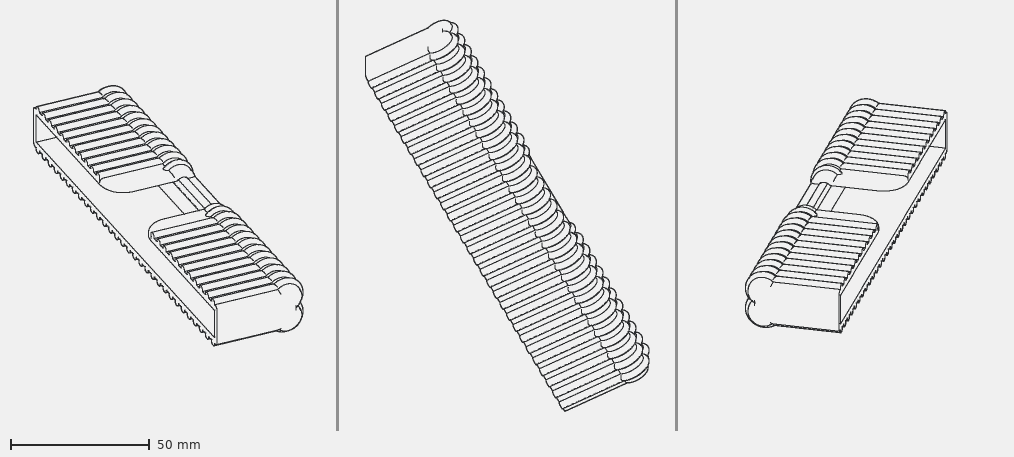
import cadquery as cq
import math

length = 156.0
depth = 35.7
height = 22.0

rib_count = 30
rib_end_distance = 3.6
rib_width = 2.8
rib_height = 1.5
plate_rib_rounding = 1.1
rib_pitch = (length - 2 * rib_end_distance) / (rib_count - 1)
rib_positions = [-length / 2 + rib_end_distance + i * rib_pitch for i in range(rib_count)]

rib_roll_radius = 7.0
roll_radius = rib_roll_radius - rib_height
roll_y = depth - rib_roll_radius
roll_z = height / 2 - rib_roll_radius
web_y = roll_y + 2.7
plate_z = 8.1
edge_rounding = 1.5

cavity_z = 5.5
cavity_roll_radius = 2.5
cavity_web_y = roll_y + 1.17
end_wall = 2.8
mouth_flare_x = 0.39
mouth_flare_z = 0.23
mouth_depth = 2.5

window_half = 12.5
bare_roll_pairs = 3
bare_plate_pairs = 4
back_edge_rounding = 1.0
low_rib_roll_radius = 6.5
panel_rib_x = rib_positions[rib_count // 2 + bare_plate_pairs]
panel_corner_radius = panel_rib_x - rib_width / 2 - window_half


def box(x0, x1, y0, y1, z0, z1):
    return cq.Workplane("XY").box(x1 - x0, y1 - y0, z1 - z0, centered=False).translate((x0, y0, z0))


def cylinder(x0, x1, radius, z):
    return cq.Workplane("YZ", origin=(x0, 0, 0)).center(roll_y, z).circle(radius).extrude(x1 - x0)


def rounded_plate(x0, x1, side, plate_top, rounding):
    """Slab on one side of the middle plane (+1 upper, -1 lower), its two outer edges along Y rounded."""
    outer_face = ">Z" if side > 0 else "<Z"
    z0, z1 = sorted((0, side * plate_top))
    return box(x0, x1, 0, roll_y, z0, z1).faces(outer_face).edges("|Y").fillet(rounding)


def half_sleeve(side):
    """Roll and plate on one side of the middle plane, with rounded ends."""
    x0, x1 = -length / 2, length / 2
    roll = cylinder(x0, x1, roll_radius, side * roll_z).edges("%CIRCLE").fillet(edge_rounding)
    return roll.union(rounded_plate(x0, x1, side, plate_z, edge_rounding))


def sleeve():
    """Outer body with the window cut down to the cavity height."""
    body = half_sleeve(-1).union(half_sleeve(1))
    body = body.union(box(-length / 2, length / 2, 0, web_y, -roll_z, roll_z))
    half = window_half + panel_corner_radius
    body = body.cut(box(-half, half, 0, depth, cavity_z, height))
    back_edge_y = roll_y + math.sqrt(roll_radius**2 - (cavity_z - roll_z) ** 2)
    back_edge = cq.selectors.NearestToPointSelector((0, back_edge_y, cavity_z))
    return body.edges(back_edge).fillet(back_edge_rounding)


def window_panel():
    """Rounded-corner piece of the upper plate and roll beside the window, on the +X side."""
    corner = panel_corner_radius
    outer_x = window_half + corner
    slant = corner * (1 - math.sqrt(0.5))
    plate = (
        cq.Workplane("XY", origin=(0, 0, cavity_z))
        .moveTo(outer_x, 0)
        .threePointArc((window_half + slant, slant), (window_half, corner))
        .lineTo(window_half, roll_y)
        .lineTo(outer_x, roll_y)
        .close()
        .extrude(plate_z - cavity_z)
    )
    plate = plate.faces(">Z").edges("<X or %CIRCLE").fillet(edge_rounding)
    roll = cylinder(window_half, outer_x, roll_radius, roll_z).faces("<X").edges().fillet(edge_rounding)
    return plate.union(roll.intersect(box(0, length, 0, depth, 0, height)))


def roll_rib(x, side, radius):
    """Disc around a roll with a fully rounded rim."""
    half = rib_width / 2
    rim_start = radius - half
    return (
        cq.Workplane("XY", origin=(x, roll_y, side * roll_z))
        .moveTo(-half, 0)
        .lineTo(-half, rim_start)
        .threePointArc((0, radius), (half, rim_start))
        .lineTo(half, 0)
        .close()
        .revolve(360, (0, 0, 0), (1, 0, 0))
    )


def plate_rib(x, side):
    half = rib_width / 2
    return rounded_plate(x - half, x + half, side, plate_z + rib_height, plate_rib_rounding)


def ribs():
    """All ribs as a list; those that would cross the window are left out."""
    parts = []
    for index, x in enumerate(rib_positions):
        parts += [roll_rib(x, -1, rib_roll_radius), plate_rib(x, -1)]
        pairs_from_middle = max(index - rib_count // 2, rib_count // 2 - 1 - index)
        if pairs_from_middle >= bare_plate_pairs:
            parts += [roll_rib(x, 1, rib_roll_radius), plate_rib(x, 1)]
        elif pairs_from_middle >= bare_roll_pairs:
            parts.append(roll_rib(x, 1, low_rib_roll_radius))
    return parts


def cavity():
    half = length / 2 - end_wall
    hollow = box(-half, half, 0, roll_y, -cavity_z, cavity_z)
    hollow = hollow.union(box(-half, half, 0, cavity_web_y, -roll_z, roll_z))
    for side in (-1, 1):
        hollow = hollow.union(cylinder(-half, half, cavity_roll_radius, side * roll_z))
    mouth = (
        cq.Workplane("XZ")
        .rect(2 * (half + mouth_flare_x), 2 * (cavity_z + mouth_flare_z))
        .workplane(offset=-mouth_depth)
        .rect(2 * half, 2 * cavity_z)
        .loft(ruled=True)
    )
    return hollow.union(mouth)


panel = window_panel()
body = sleeve().union(panel).union(panel.mirror("YZ"))
for rib in ribs():
    body = body.union(rib)
result = body.cut(cavity())